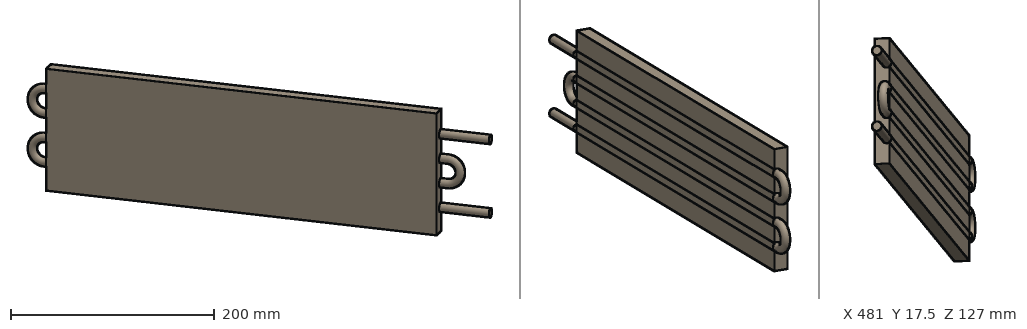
import cadquery as cq

overall_length = 481.0

plate_length = 406.0
plate_thickness = 15.0
plate_height = 127.0

tube_diameter = 9.5
tube_pitch = 25.5
row_count = 4
tube_proud = 2.5
left_straight = 6.0
right_straight = 7.5
flat_run_out = 2.0

tube_radius = tube_diameter / 2
bend_radius = tube_pitch / 2
left_overhang = left_straight + bend_radius + tube_radius
tail_length = overall_length - plate_length - left_overhang
tube_y = plate_thickness + tube_proud - tube_radius
plate_right = plate_length / 2
plate_left = -plate_right
left_bend_x = plate_left - left_straight
right_bend_x = plate_right + right_straight
tail_end_x = plate_right + tail_length
row_z = [tube_pitch * ((row_count - 1) / 2 - row) for row in range(row_count)]


def make_round_tube():
    """Solid round serpentine: four rows joined by two left bends and one right bend."""
    path = (
        cq.Workplane("XZ", origin=(0, tube_y, 0))
        .moveTo(tail_end_x, row_z[0])
        .lineTo(left_bend_x, row_z[0])
        .threePointArc((left_bend_x - bend_radius, row_z[0] - bend_radius), (left_bend_x, row_z[1]))
        .lineTo(right_bend_x, row_z[1])
        .threePointArc((right_bend_x + bend_radius, row_z[1] - bend_radius), (right_bend_x, row_z[2]))
        .lineTo(left_bend_x, row_z[2])
        .threePointArc((left_bend_x - bend_radius, row_z[2] - bend_radius), (left_bend_x, row_z[3]))
        .lineTo(tail_end_x, row_z[3])
    )
    return (
        cq.Workplane("YZ", origin=(tail_end_x, tube_y, row_z[0]))
        .circle(tube_radius)
        .sweep(path)
    )


def make_flattening_cut():
    """Wedge-ended block that trims the tube flush with the plate's back face."""
    back_y = plate_thickness + tube_proud
    return (
        cq.Workplane("XY")
        .moveTo(plate_left, plate_thickness)
        .lineTo(plate_right, plate_thickness)
        .lineTo(plate_right + flat_run_out, back_y)
        .lineTo(plate_left - flat_run_out, back_y)
        .close()
        .extrude(plate_height / 2, both=True)
    )


def make_plate(fitted_tube):
    """Rectangular plate with open-backed channels that hold the tube."""
    blank = cq.Workplane("XY").box(
        plate_length, plate_thickness, plate_height, centered=(True, False, True)
    )
    return blank.cut(fitted_tube)


tube = make_round_tube().cut(make_flattening_cut())
plate = make_plate(tube)

result = cq.Compound.makeCompound([plate.solids().val(), tube.solids().val()])